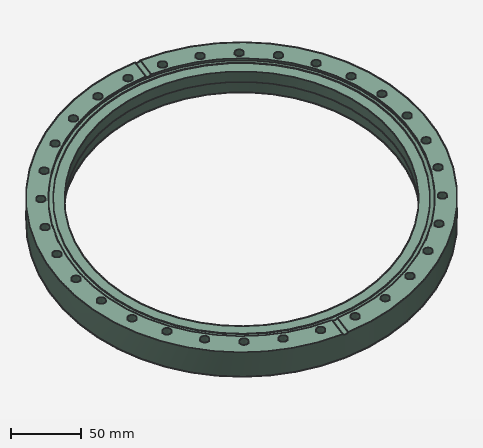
import cadquery as cq
import math

outer_diameter = 305.0
height = 25.0
bore_diameter = 250.5

socket_diameter = 254.5
socket_depth = 12.8

recess_diameter = 273.3
knife_diameter = 266.5
recess_depth = 2.0
knife_drop = 1.0
seal_floor_depth = 1.5

hole_count = 32
hole_diameter = 6.7
bolt_circle_diameter = 284.0

groove_width = 4.3
groove_depth = 1.2


def make_ring():
    """Revolve the ring section, with its sealing recess and socket, about Z."""
    outer_radius = outer_diameter / 2
    recess_radius = recess_diameter / 2
    knife_radius = knife_diameter / 2
    bore_radius = bore_diameter / 2
    socket_radius = socket_diameter / 2
    section = [
        (socket_radius, 0),
        (outer_radius, 0),
        (outer_radius, height),
        (recess_radius, height),
        (recess_radius, height - recess_depth),
        (knife_radius, height - knife_drop),
        (knife_radius, height - seal_floor_depth),
        (bore_radius, height - seal_floor_depth),
        (bore_radius, socket_depth),
        (socket_radius, socket_depth),
    ]
    return cq.Workplane("XZ").polyline(section).close().revolve(360, (0, 0, 0), (0, 1, 0))


def make_bolt_holes():
    """Through holes, placed half a pitch either side of the X axis."""
    half_pitch = 180 / hole_count
    return (
        cq.Workplane("XY")
        .polarArray(bolt_circle_diameter / 2, half_pitch, 360, hole_count)
        .circle(hole_diameter / 2)
        .extrude(height)
    )


def make_leak_groove(side):
    """Shallow cylindrical cut from the recess to the rim; side is +1 or -1."""
    groove_radius = ((groove_width / 2) ** 2 + groove_depth**2) / (2 * groove_depth)
    axis_height = height - groove_depth + groove_radius
    half_width = groove_width / 2
    start = math.sqrt((recess_diameter / 2) ** 2 - half_width**2)
    return (
        cq.Workplane("YZ", origin=(side * start, 0, 0))
        .center(0, axis_height)
        .circle(groove_radius)
        .extrude(side * (outer_diameter / 2 - start))
    )


result = make_ring().cut(make_bolt_holes())
for side in (-1, 1):
    result = result.cut(make_leak_groove(side))